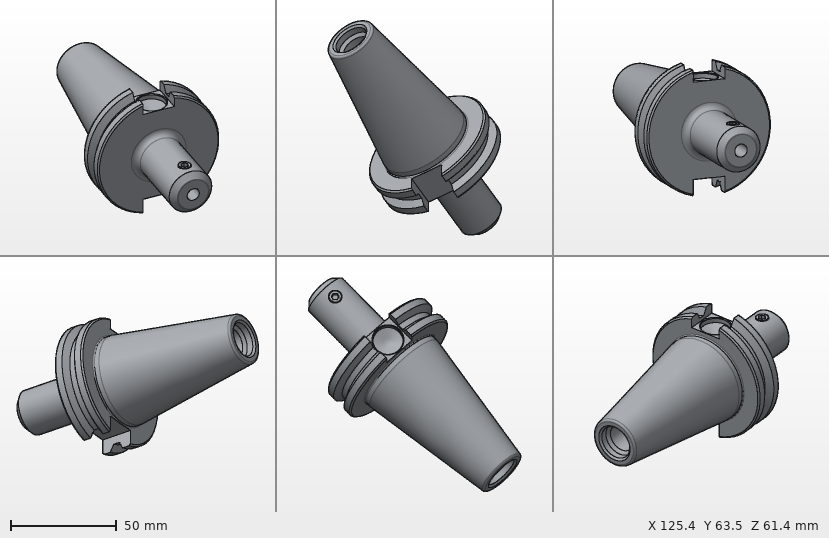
import cadquery as cq
import math


gauge_diameter = 44.45
taper_length = 68.26
taper_ratio = 7 / 24
small_end_radius = (gauge_diameter - taper_ratio * taper_length) / 2
small_end_edge_radius = 1.2

flange_diameter = 63.5
flange_start = 3.175
flange_end = 19.05
flange_edge_chamfer = 0.8
flange_root_radius = 0.6
flange_center = (flange_start + flange_end) / 2
groove_floor_width = 3.03
groove_floor_diameter = 56.36
groove_wall_angle = 30

slot_width = 16.26
upper_slot_height = 25.0
lower_slot_height = 22.6
dimple_diameter = 14.3
dimple_chamfer = 0.4
dimple_wall_depth = 2.7
dimple_point_angle = 140

nose_length = 57.15
nose_diameter = 22.23
nose_root_radius = 3.175
nose_chamfer = 3.05
nose_tip_radius = 0.4

entry_diameter = 18.5
counterbore_diameter = 16.46
counterbore_depth = 4.2
thread_diameter = 13.39
thread_depth = 28.6
clearance_diameter = 9.53
clearance_depth = taper_length + flange_end
tool_bore_diameter = 6.35
bore_cone_angle = 90

screw_diameter = 6.35
screw_to_nose_face = 9.53
screw_position = nose_length - screw_to_nose_face
screw_top = nose_diameter / 2
screw_chamfer = 0.3
screw_bottom = tool_bore_diameter / 2
hex_across_flats = 3.175
hex_depth = 2.5
hex_turn = 45


def revolve_about_x(profile):
    """Turn a closed (x, radius) profile once around the X axis."""
    return profile.close().revolve(360, (0, 0, 0), (1, 0, 0))


def cone_length(large_diameter, small_diameter, point_angle):
    """Axial length of a cone with the given included angle between two diameters."""
    return (large_diameter - small_diameter) / 2 / math.tan(math.radians(point_angle / 2))


def turned_outside():
    gauge_radius = gauge_diameter / 2
    flange_radius = flange_diameter / 2
    nose_radius = nose_diameter / 2
    diagonal = math.sqrt(0.5)

    body = revolve_about_x(
        cq.Workplane("XY")
        .moveTo(-taper_length, 0)
        .lineTo(-taper_length, small_end_radius)
        .lineTo(0, gauge_radius)
        .lineTo(flange_start - flange_root_radius, gauge_radius)
        .threePointArc(
            (
                flange_start - flange_root_radius * (1 - diagonal),
                gauge_radius + flange_root_radius * (1 - diagonal),
            ),
            (flange_start, gauge_radius + flange_root_radius),
        )
        .lineTo(flange_start, flange_radius - flange_edge_chamfer)
        .lineTo(flange_start + flange_edge_chamfer, flange_radius)
        .lineTo(flange_end - flange_edge_chamfer, flange_radius)
        .lineTo(flange_end, flange_radius - flange_edge_chamfer)
        .lineTo(flange_end, nose_radius + nose_root_radius)
        .threePointArc(
            (
                flange_end + nose_root_radius * (1 - diagonal),
                nose_radius + nose_root_radius * (1 - diagonal),
            ),
            (flange_end + nose_root_radius, nose_radius),
        )
        .lineTo(nose_length - nose_chamfer, nose_radius)
        .lineTo(nose_length, nose_radius - nose_chamfer)
        .lineTo(nose_length, 0)
    )
    body = body.faces("<X").edges().fillet(small_end_edge_radius)
    return body.faces(">X").edges().fillet(nose_tip_radius)


def flange_groove():
    floor_radius = groove_floor_diameter / 2
    depth = flange_diameter / 2 - floor_radius
    half_floor = groove_floor_width / 2
    half_mouth = half_floor + depth * math.tan(math.radians(groove_wall_angle))
    return revolve_about_x(
        cq.Workplane("XY")
        .moveTo(flange_center - half_mouth, flange_diameter / 2)
        .lineTo(flange_center - half_floor, floor_radius)
        .lineTo(flange_center + half_floor, floor_radius)
        .lineTo(flange_center + half_mouth, flange_diameter / 2)
    )


def drive_slot(floor_height, side):
    """Slot across the flange rim, on the +Z (side = 1) or -Z (side = -1) side."""
    height = flange_diameter / 2 - floor_height
    return cq.Workplane("XY").box(flange_end - flange_start, slot_width, height).translate(
        (flange_center, 0, side * (floor_height + height / 2))
    )


def slot_dimple():
    """Shallow flat-drilled dimple, chamfered at its rim, sunk from the upper slot floor."""
    radius = dimple_diameter / 2
    point = dimple_wall_depth + cone_length(dimple_diameter, 0, dimple_point_angle)
    profile = (
        cq.Workplane("XZ")
        .lineTo(radius + dimple_chamfer, 0)
        .lineTo(radius, -dimple_chamfer)
        .lineTo(radius, -dimple_wall_depth)
        .lineTo(0, -point)
        .close()
    )
    return profile.revolve(360, (0, 0, 0), (0, 1, 0)).translate((flange_center, 0, upper_slot_height))


def stepped_bore():
    entry_chamfer = (entry_diameter - counterbore_diameter) / 2
    thread_chamfer = (counterbore_diameter - thread_diameter) / 2
    thread_cone = cone_length(thread_diameter, clearance_diameter, bore_cone_angle)
    clearance_cone = cone_length(clearance_diameter, tool_bore_diameter, bore_cone_angle)
    start = -taper_length
    return revolve_about_x(
        cq.Workplane("XY")
        .moveTo(start, 0)
        .lineTo(start, entry_diameter / 2)
        .lineTo(start + entry_chamfer, counterbore_diameter / 2)
        .lineTo(start + counterbore_depth, counterbore_diameter / 2)
        .lineTo(start + counterbore_depth + thread_chamfer, thread_diameter / 2)
        .lineTo(start + thread_depth, thread_diameter / 2)
        .lineTo(start + thread_depth + thread_cone, clearance_diameter / 2)
        .lineTo(start + clearance_depth, clearance_diameter / 2)
        .lineTo(start + clearance_depth + clearance_cone, tool_bore_diameter / 2)
        .lineTo(nose_length, tool_bore_diameter / 2)
        .lineTo(nose_length, 0)
    )


def screw_hole():
    """Radial hole that opens into the tool bore and runs out through the top of the nose."""
    return (
        cq.Workplane("XY")
        .circle(screw_diameter / 2)
        .extrude(nose_diameter / 2)
        .translate((screw_position, 0, 0))
    )


def make_holder():
    return (
        turned_outside()
        .cut(flange_groove())
        .cut(drive_slot(upper_slot_height, 1))
        .cut(drive_slot(lower_slot_height, -1))
        .cut(slot_dimple())
        .cut(stepped_bore())
        .cut(screw_hole())
    )


def make_set_screw():
    """Set screw filling its hole, chamfered at the top around a hex socket."""
    hex_across_corners = hex_across_flats / math.cos(math.radians(30))
    blank = (
        cq.Workplane("XY")
        .circle(screw_diameter / 2)
        .extrude(screw_top - screw_bottom)
        .translate((screw_position, 0, screw_bottom))
    )
    socket = (
        cq.Workplane("XY")
        .polygon(6, hex_across_corners)
        .extrude(hex_depth)
        .rotate((0, 0, 0), (0, 0, 1), hex_turn)
        .translate((screw_position, 0, screw_top - hex_depth))
    )
    return blank.faces(">Z").edges().chamfer(screw_chamfer).cut(socket)


holder = make_holder()
set_screw = make_set_screw()

result = cq.Compound.makeCompound([holder.val(), set_screw.val()])